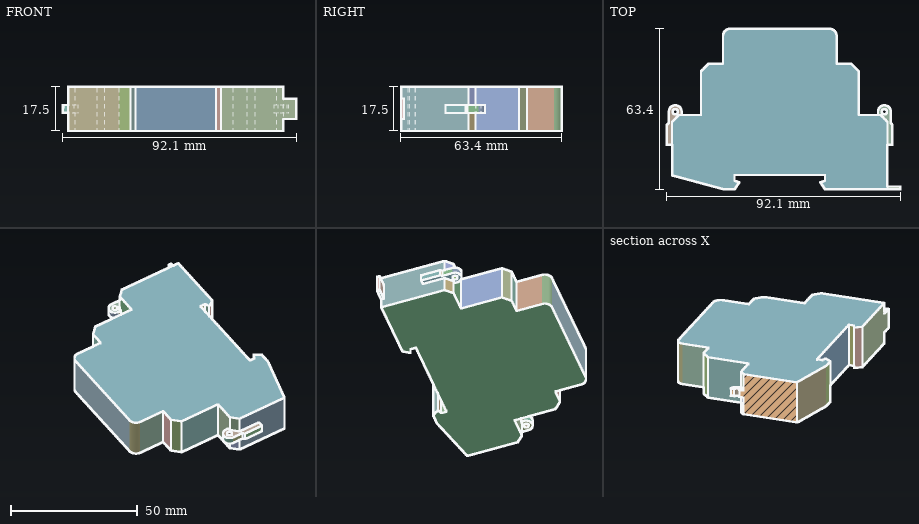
import cadquery as cq

overall_length = 92.1
thickness = 17.5
base_width = 84.8
base_top = 29.4
base_chamfer = 2.8
middle_width = 62.3
middle_top = 49.55
middle_chamfer = 3.0
top_width = 44.9
housing_top = 63.4
top_radius = 3.0
center_x = base_width / 2

slope_length = 20.2
slope_rise = 5.4

slot_width = 35.55
slot_depth = 5.6
hook_reach = 1.8
hook_tip_y = 2.8
hook_root_y = 3.4

clip_thickness = 3.1
eye_inset = 1.2
eye_y = 30.6
eye_radius = 2.6
eye_hole_radius = 1.0
clip_bottom = 17.5
shoulder_top = 26.2
shoulder_bottom = 25.4
left_foot_reach = 2.2
right_foot_reach = 1.9

tab_height = 8.1
tab_thickness = 1.2
tab_end = overall_length - left_foot_reach


def centered_block(width, bottom, top):
    """Full-thickness block centered on the housing."""
    return (
        cq.Workplane("XY")
        .center(center_x, (bottom + top) / 2)
        .rect(width, top - bottom)
        .extrude(thickness / 2, both=True)
    )


def make_housing():
    base = centered_block(base_width, 0, base_top).edges("|Z and >Y").chamfer(base_chamfer)
    middle = centered_block(middle_width, 0, middle_top).edges("|Z and >Y").chamfer(middle_chamfer)
    top = centered_block(top_width, 0, housing_top).edges("|Z and >Y").fillet(top_radius)
    corner = (
        cq.Workplane("XY")
        .polyline([(0, 0), (slope_length, 0), (0, slope_rise)])
        .close()
        .extrude(thickness / 2, both=True)
    )
    return base.union(middle).union(top).cut(corner).cut(make_rail_slot())


def make_rail_slot():
    left = center_x - slot_width / 2
    right = center_x + slot_width / 2
    outline = [
        (left, 0),
        (left + hook_reach, hook_tip_y),
        (left, hook_root_y),
        (left, slot_depth),
        (right, slot_depth),
        (right, hook_root_y),
        (right - hook_reach, hook_tip_y),
        (right, 0),
    ]
    return cq.Workplane("XY").polyline(outline).close().extrude(thickness / 2, both=True)


def make_clip(foot_reach):
    """Left-hand clip: a round eye on a stem that widens into a foot."""
    stem_left = eye_inset - eye_radius
    stem_right = eye_inset + eye_radius
    return (
        cq.Workplane("XY")
        .moveTo(-foot_reach, clip_bottom)
        .lineTo(-foot_reach, shoulder_bottom)
        .lineTo(stem_left, shoulder_top)
        .lineTo(stem_left, eye_y)
        .threePointArc((eye_inset, eye_y + eye_radius), (stem_right, eye_y))
        .lineTo(stem_right, clip_bottom)
        .close()
        .moveTo(eye_inset, eye_y)
        .circle(eye_hole_radius)
        .extrude(clip_thickness / 2, both=True)
    )


def make_release_tab():
    """Flat tab flush with the bottom, rooted at the housing's right side."""
    length = tab_end - base_width
    tab = cq.Workplane("XY").box(length, tab_thickness, tab_height, centered=(False, False, True))
    return tab.translate((base_width, 0, 0))


left_clip = make_clip(left_foot_reach)
right_clip = make_clip(right_foot_reach).mirror("YZ").translate((base_width, 0, 0))

result = make_housing().union(left_clip).union(right_clip).union(make_release_tab())